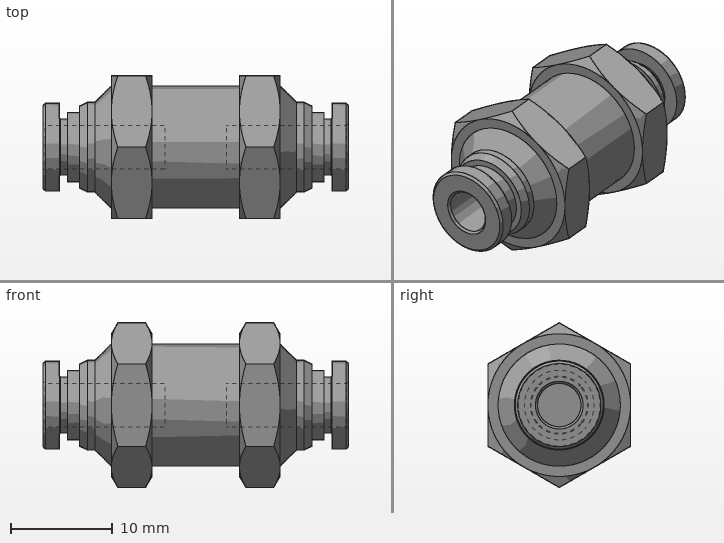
import cadquery as cq
import math

length = 30.0
half_length = length / 2

nut_across_flats = 14.0
nut_across_corners = nut_across_flats / math.cos(math.pi / 6)
nut_inner_x = 4.3
nut_outer_x = 8.28
nut_width = nut_outer_x - nut_inner_x
nut_bevel_length = 0.63

barrel_radius = 6.0
collar_radius = 4.4
collar_inner_x = 9.9
collar_outer_x = 10.62
collar_tip_radius = 4.02
collar_tip_x = 11.43

sleeve_radius = 3.42
sleeve_end_x = 12.6
neck_radius = 2.75
flange_radius = 4.32
flange_inner_x = 13.38
flange_bevel = 0.25
neck_root_chamfer = 0.1

bore_radius = 2.13
bore_bevel = 0.2
bore_depth = 12.0


def revolve_about_x(profile):
    """Revolve a closed profile of (x, radius) points about the X axis."""
    outline = cq.Workplane("XY").polyline(profile).close()
    return outline.revolve(360, (0, 0, 0), (1, 0, 0))


def make_body():
    """Barrel with a taper, collar, sleeve and flange at each end."""
    right_side = [
        (nut_outer_x, barrel_radius),
        (collar_inner_x, collar_radius),
        (collar_outer_x, collar_radius),
        (collar_tip_x, collar_tip_radius),
        (collar_tip_x, sleeve_radius),
        (sleeve_end_x, sleeve_radius),
        (sleeve_end_x, neck_radius),
        (flange_inner_x - neck_root_chamfer, neck_radius),
        (flange_inner_x, neck_radius + neck_root_chamfer),
        (flange_inner_x, flange_radius),
        (half_length - flange_bevel, flange_radius),
        (half_length, flange_radius - flange_bevel),
        (half_length, 0),
    ]
    left_side = [(-x, radius) for x, radius in reversed(right_side)]
    return revolve_about_x(left_side + right_side)


def make_nut():
    """Hexagon nut on the +X side, corners up and down, bevelled at both faces."""
    hexagon = (
        cq.Workplane("YZ", origin=(nut_inner_x, 0, 0))
        .transformed(rotate=(0, 0, 90))
        .polygon(6, nut_across_corners)
        .extrude(nut_width)
    )
    corner_radius = nut_across_corners / 2
    face_radius = nut_across_flats / 2
    bevel_envelope = revolve_about_x([
        (nut_inner_x, 0),
        (nut_inner_x, face_radius),
        (nut_inner_x + nut_bevel_length, corner_radius),
        (nut_outer_x - nut_bevel_length, corner_radius),
        (nut_outer_x, face_radius),
        (nut_outer_x, 0),
    ])
    return hexagon.intersect(bevel_envelope)


def make_socket():
    """Blind tube socket with a bevelled mouth, opening at the +X end."""
    return revolve_about_x([
        (half_length, 0),
        (half_length, bore_radius + bore_bevel),
        (half_length - bore_bevel, bore_radius),
        (half_length - bore_depth, bore_radius),
        (half_length - bore_depth, 0),
    ])


nut = make_nut()
socket = make_socket()
result = make_body().union(nut).union(nut.mirror("YZ"))
result = result.cut(socket).cut(socket.mirror("YZ"))